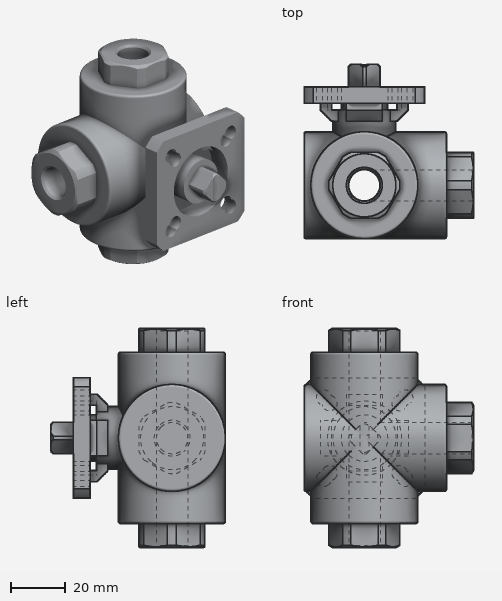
import cadquery as cq
import math


body_radius = 19.5
body_half_height = 31.3
body_left = -22.0
body_right = 30.0
body_fillet = 1.0

port_reach = 40
hex_flats = 24
hex_corner_diameter = 26.0
hex_face_diameter = 23.0
hex_bevel_angle = 30
bore_diameter = 11.4
bore_mouth_diameter = 13.1

collar_diameter = 23.0
collar_top = 27.5
neck_diameter = 17.0
plate_bottom = 29.8
plate_top = 35.9
plate_side = 44
plate_corner_diameter = 57.6

clip_reach = 16
clip_width = 13.0
clip_bottom = 23.4
clip_slope = 4

clearance_diameter = 27.0

bolt_circles = (36, 42.0)
bolt_hole_diameter = 5.5
bolt_angles = (45, 135, 225, 315)

stem_top = 44.2
stem_square = 9.0
stem_diameter = 11.6
stem_chamfer = 1.0
mark_width = 3.2
mark_depth = 0.3


def disc_y(diameter, start, end):
    """Round bar along Y between two heights."""
    return cq.Workplane("XZ", origin=(0, start, 0)).circle(diameter / 2).extrude(start - end)


def make_body():
    run = (
        cq.Workplane("XY")
        .circle(body_radius)
        .extrude(body_half_height, both=True)
        .faces("|Z").edges().fillet(body_fillet)
    )
    branch = (
        cq.Workplane("YZ", origin=(body_left, 0, 0))
        .circle(body_radius)
        .extrude(body_right - body_left)
        .faces("|X").edges().fillet(body_fillet)
    )
    return run.union(branch)


def make_hex_port():
    """Hexagon along +Z with two flats square to Y, rounded corners and a bevelled end."""
    hexagon = cq.Workplane("XY").polygon(6, hex_flats / math.cos(math.pi / 6)).extrude(port_reach)
    corner_radius = hex_corner_diameter / 2
    face_radius = hex_face_diameter / 2
    bevel_height = (corner_radius - face_radius) * math.tan(math.radians(hex_bevel_angle))
    envelope = (
        cq.Workplane("XZ")
        .moveTo(0, 0)
        .lineTo(corner_radius, 0)
        .lineTo(corner_radius, port_reach - bevel_height)
        .lineTo(face_radius, port_reach)
        .lineTo(0, port_reach)
        .close()
        .revolve(360, (0, 0, 0), (0, 1, 0))
    )
    return hexagon.intersect(envelope)


def make_bore():
    """Bore along +Z from the body centre, with a 45 degree countersunk mouth."""
    bore_radius = bore_diameter / 2
    mouth_radius = bore_mouth_diameter / 2
    return (
        cq.Workplane("XZ")
        .moveTo(0, 0)
        .lineTo(bore_radius, 0)
        .lineTo(bore_radius, port_reach - (mouth_radius - bore_radius))
        .lineTo(mouth_radius, port_reach)
        .lineTo(0, port_reach)
        .close()
        .revolve(360, (0, 0, 0), (0, 1, 0))
    )


def at_each_port(shape):
    """A +Z shape together with its copies on the -Z and +X ports."""
    down = shape.rotate((0, 0, 0), (1, 0, 0), 180)
    side = shape.rotate((0, 0, 0), (0, 1, 0), 90)
    return shape.union(down).union(side)


def make_plate():
    plate = (
        cq.Workplane("XZ", origin=(0, plate_bottom, 0))
        .rect(plate_side, plate_side)
        .extrude(plate_bottom - plate_top)
        .intersect(disc_y(plate_corner_diameter, plate_bottom, plate_top))
    )
    for circle in bolt_circles:
        hole = disc_y(bolt_hole_diameter, plate_bottom, plate_top).translate((circle / 2, 0, 0))
        for angle in bolt_angles:
            plate = plate.cut(hole.rotate((0, 0, 0), (0, 1, 0), angle))
    return plate


def make_clips():
    """Four hooks that hang from the plate and join the sides of the collar."""
    hook = (
        cq.Workplane("XY")
        .moveTo(0, clip_bottom)
        .lineTo(clip_reach - clip_slope, clip_bottom)
        .lineTo(clip_reach, clip_bottom + clip_slope)
        .lineTo(clip_reach, plate_bottom)
        .lineTo(0, plate_bottom)
        .close()
        .extrude(clip_width / 2, both=True)
    )
    clips = hook
    for angle in (90, 180, 270):
        clips = clips.union(hook.rotate((0, 0, 0), (0, 1, 0), angle))
    return clips


def make_stem():
    """Square stem end with its corners on the X and Z axes, chamfered and marked on top."""
    square = (
        cq.Workplane("XZ", origin=(0, plate_top, 0))
        .rect(stem_square, stem_square)
        .extrude(plate_top - stem_top)
        .rotate((0, 0, 0), (0, 1, 0), 45)
    )
    envelope = disc_y(stem_diameter, plate_top, stem_top).faces(">Y").chamfer(stem_chamfer)
    mark = (
        cq.Workplane("XY")
        .moveTo(-mark_width / 2, stem_top)
        .threePointArc((0, stem_top - mark_depth), (mark_width / 2, stem_top))
        .close()
        .extrude(stem_diameter, both=True)
    )
    return square.intersect(envelope).cut(mark)


collar = disc_y(collar_diameter, 0, collar_top)
neck = disc_y(neck_diameter, 0, plate_top)
clearance = disc_y(clearance_diameter, collar_top, plate_top)
mounting = make_plate().union(make_clips()).cut(clearance)

result = (
    make_body()
    .union(at_each_port(make_hex_port()))
    .union(collar)
    .union(neck)
    .union(mounting)
    .union(make_stem())
    .cut(at_each_port(make_bore()))
)